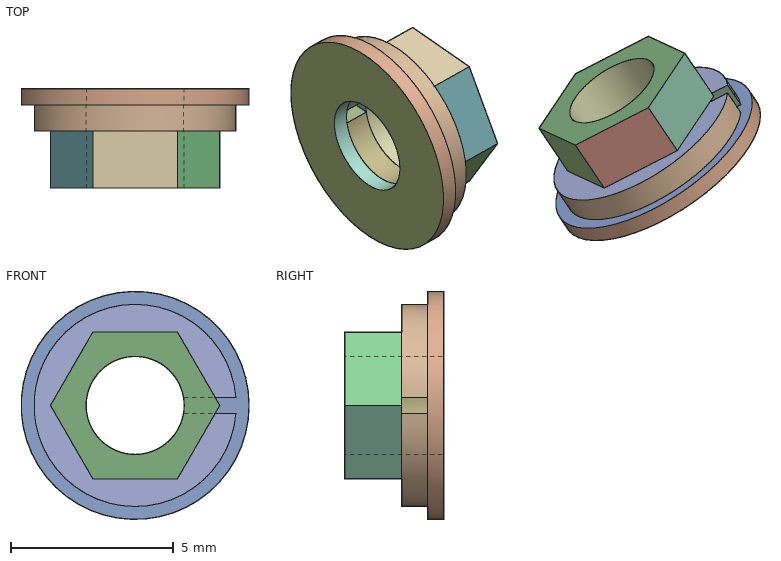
import cadquery as cq
import math

flange_diameter = 7.0
flange_thickness = 0.505
bore_diameter = 3.0

ring_diameter = 6.2
ring_thickness = 0.8
ring_gap = 0.5

hex_across_flats = 4.5
hex_length = 1.75

hex_across_corners = hex_across_flats / math.cos(math.pi / 6)
ring_front = flange_thickness + ring_thickness


def plane_at_depth(depth):
    """Workplane across the axis, facing -Y, at a distance in front of the flange back."""
    return cq.Workplane("XZ").workplane(offset=depth)


def make_flange():
    """Plain round washer at the back."""
    return (
        plane_at_depth(0)
        .circle(flange_diameter / 2)
        .circle(bore_diameter / 2)
        .extrude(flange_thickness)
    )


def make_hex_sleeve():
    """Hexagonal sleeve standing on the ring, with two corners on the X axis."""
    return (
        plane_at_depth(ring_front)
        .polygon(6, hex_across_corners)
        .circle(bore_diameter / 2)
        .extrude(hex_length)
    )


def make_split_ring():
    """Ring between the flange and the sleeve, split through to the bore on its +X side."""
    ring = (
        plane_at_depth(flange_thickness)
        .circle(ring_diameter / 2)
        .circle(bore_diameter / 2)
        .extrude(ring_thickness)
    )
    gap = (
        plane_at_depth(flange_thickness)
        .center(ring_diameter / 4, 0)
        .rect(ring_diameter / 2, ring_gap)
        .extrude(ring_thickness)
    )
    return ring.cut(gap)


flange = make_flange()
hex_sleeve = make_hex_sleeve()
split_ring = make_split_ring()

result = cq.Compound.makeCompound([flange.val(), hex_sleeve.val(), split_ring.val()])